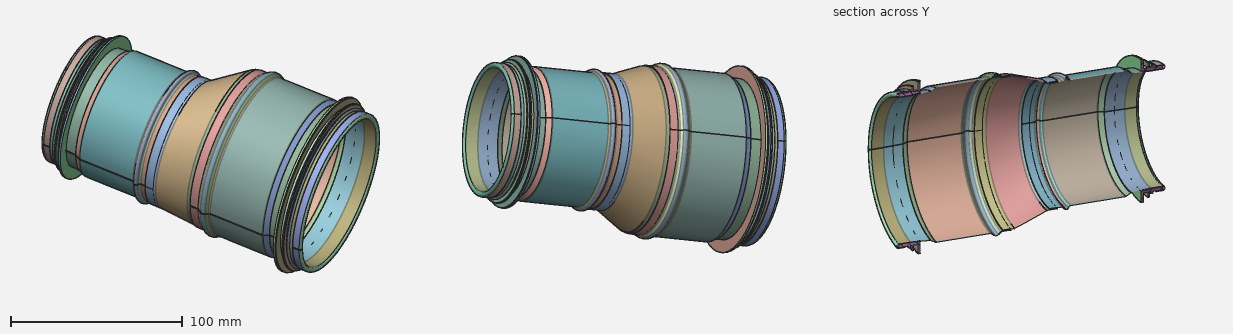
import cadquery as cq
import math


length = 172.2
wall = 0.6
small_tube_d = 79.0
large_tube_d = 99.0
seam_angle = 0.1

hem_length = 5.7
lip_drop = 6.2
seat_drop = 3.6
seat_taper_start = 9.1
shoulder_foot = 21.9
shoulder_top = 25.3
shoulder_blend = 1.2
bend_radius = lip_drop / 4

gasket_end = 15.5
gasket_drop = 1.0
small_flange_d = 89.4
large_flange_d = 109.5
flange_width = 1.7
fin_start = 10.0
fin_width = 1.2
fin_rise = 5.3
bump_start = 7.7
bump_width = 1.4
bump_rise = 1.5
tip_bevel_width = 0.5
tip_bevel_depth = 0.25

small_bead_x = 63.2
small_bead = dict(crest=1.58, root=1.12, slope=math.radians(70), flank=0.3)
large_bead_x = 108.1
large_bead = dict(crest=2.8, root=1.46, slope=math.radians(37), flank=1.9)

small_sleeve_end = 74.0
large_sleeve_end = 98.8
transition_start = 68.9
cone_start = 75.8
cone_end = 96.6
transition_end = 104.0
collar_small_d = small_tube_d + 2 * wall
collar_large_d = large_tube_d - 2 * wall
small_axis_y = (collar_small_d - collar_large_d) / 2


def revolve_about_x(profile, angle=360):
    return profile.close().revolve(angle, (0, 0, 0), (-1, 0, 0))


def add_bead(profile, centre, tube_r, crest, root, slope, flank, direction):
    """Continue a tube line at radius tube_r over a bead, running towards +X (1) or -X (-1)."""
    root_run = root * math.sin(slope)
    root_rise = root * (1 - math.cos(slope))
    flank_run = flank * math.cos(slope)
    flank_rise = flank * math.sin(slope)
    crest_run = crest * math.sin(slope)
    crest_edge_r = tube_r + root_rise + flank_rise

    def at(run):
        return centre + direction * run

    half_width = crest_run + flank_run + root_run
    return (
        profile.lineTo(at(-half_width), tube_r)
        .tangentArcPoint((at(-crest_run - flank_run), tube_r + root_rise), relative=False)
        .lineTo(at(-crest_run), crest_edge_r)
        .tangentArcPoint((at(crest_run), crest_edge_r), relative=False)
        .lineTo(at(crest_run + flank_run), tube_r + root_rise)
        .tangentArcPoint((at(half_width), tube_r), relative=False)
    )


def make_sleeve(tube_d, sleeve_length, bead_distance, bead):
    """Sheet-metal sleeve on the X axis with its hemmed open end at X = 0 and its seam at +Y."""
    tube_r = tube_d / 2
    tube_inner_r = tube_r - wall
    lip_inner_r = (tube_d - lip_drop) / 2
    lip_r = lip_inner_r + wall
    seat_r = (tube_d - seat_drop) / 2
    bend_r = tube_r - bend_radius
    slope = math.atan2(tube_r - seat_r, shoulder_top - shoulder_foot)
    blend = shoulder_blend * math.tan(slope / 2)
    blend_foot = (shoulder_top - blend * math.cos(slope), tube_r - blend * math.sin(slope))

    inner_bead = dict(bead, crest=bead["crest"] - wall, root=bead["root"] + wall)

    profile = (
        cq.Workplane("XY")
        .moveTo(hem_length, tube_r)
        .lineTo(bend_radius, tube_r)
        .threePointArc((0, bend_r), (bend_radius, lip_inner_r))
        .lineTo(seat_taper_start, lip_inner_r)
        .lineTo(shoulder_foot, seat_r - wall)
        .lineTo(shoulder_top, tube_inner_r)
    )
    profile = add_bead(profile, bead_distance, tube_inner_r, direction=1, **inner_bead)
    profile = profile.lineTo(sleeve_length, tube_inner_r).lineTo(sleeve_length, tube_r)
    profile = add_bead(profile, bead_distance, tube_r, direction=-1, **bead)
    profile = (
        profile.lineTo(shoulder_top + blend, tube_r)
        .tangentArcPoint(blend_foot, relative=False)
        .lineTo(shoulder_foot, seat_r)
        .lineTo(seat_taper_start, lip_r)
        .lineTo(bend_radius, lip_r)
        .threePointArc((wall, bend_r), (bend_radius, tube_inner_r))
        .lineTo(hem_length, tube_inner_r)
    )
    return revolve_about_x(profile, 360 - seam_angle)


def make_gasket(tube_d, flange_d):
    """Gasket on the X axis: a base clamped under the hem, a bump, a fin and a flange."""
    tongue_r = tube_d / 2 - wall
    base_r = (tube_d - gasket_drop) / 2
    bump_r = (tube_d + bump_rise) / 2
    fin_r = (tube_d + fin_rise) / 2
    flange_r = flange_d / 2
    lip_r = (tube_d - lip_drop) / 2 + wall
    seat_r = (tube_d - seat_drop) / 2
    taper = (seat_r - lip_r) / (shoulder_foot - seat_taper_start)
    end_r = lip_r + taper * (gasket_end - seat_taper_start)
    flange_start = gasket_end - flange_width

    profile = (
        cq.Workplane("XY")
        .moveTo(bend_radius, lip_r)
        .lineTo(bend_radius, tongue_r)
        .lineTo(hem_length, tongue_r)
        .lineTo(hem_length, base_r)
        .lineTo(bump_start, base_r)
        .threePointArc((bump_start + bump_width / 2, bump_r), (bump_start + bump_width, base_r))
        .lineTo(fin_start, base_r)
        .lineTo(fin_start, fin_r - tip_bevel_depth)
        .lineTo(fin_start + tip_bevel_width, fin_r)
        .lineTo(fin_start + fin_width, fin_r)
        .lineTo(fin_start + fin_width, base_r)
        .lineTo(flange_start, base_r)
        .lineTo(flange_start, flange_r - tip_bevel_depth)
        .lineTo(flange_start + tip_bevel_width, flange_r)
        .lineTo(gasket_end, flange_r)
        .lineTo(gasket_end, end_r)
        .lineTo(seat_taper_start, lip_r)
    )
    return revolve_about_x(profile)


def transition_solid(inset):
    """Collar, eccentric cone and collar as one solid, with every radius reduced by inset."""
    small_r = collar_small_d / 2 - inset
    large_r = collar_large_d / 2 - inset
    small_collar = (
        cq.Workplane("YZ", origin=(transition_start, small_axis_y, 0))
        .circle(small_r)
        .extrude(cone_start - transition_start)
    )
    cone = (
        cq.Workplane("YZ", origin=(cone_start, small_axis_y, 0))
        .circle(small_r)
        .workplane(offset=cone_end - cone_start)
        .center(-small_axis_y, 0)
        .circle(large_r)
        .loft(ruled=True)
    )
    large_collar = (
        cq.Workplane("YZ", origin=(cone_end, 0, 0))
        .circle(large_r)
        .extrude(transition_end - cone_end)
    )
    return small_collar.union(cone).union(large_collar)


def place_small(body):
    """Turn the seam to -Y and shift the body onto the axis of the small end."""
    return body.rotate((0, 0, 0), (1, 0, 0), 180).translate((0, small_axis_y, 0))


def place_large(body):
    """Turn the body end for end, which also brings the seam to -Y."""
    return body.rotate((0, 0, 0), (0, 0, 1), 180).translate((length, 0, 0))


small_sleeve = place_small(make_sleeve(small_tube_d, small_sleeve_end, small_bead_x, small_bead))
large_sleeve = place_large(
    make_sleeve(large_tube_d, length - large_sleeve_end, length - large_bead_x, large_bead)
)
small_gasket = place_small(make_gasket(small_tube_d, small_flange_d))
large_gasket = place_large(make_gasket(large_tube_d, large_flange_d))
transition = transition_solid(0).cut(transition_solid(wall))

bodies = [small_sleeve, large_sleeve, small_gasket, large_gasket, transition]
result = cq.Compound.makeCompound([body.solids().val() for body in bodies])